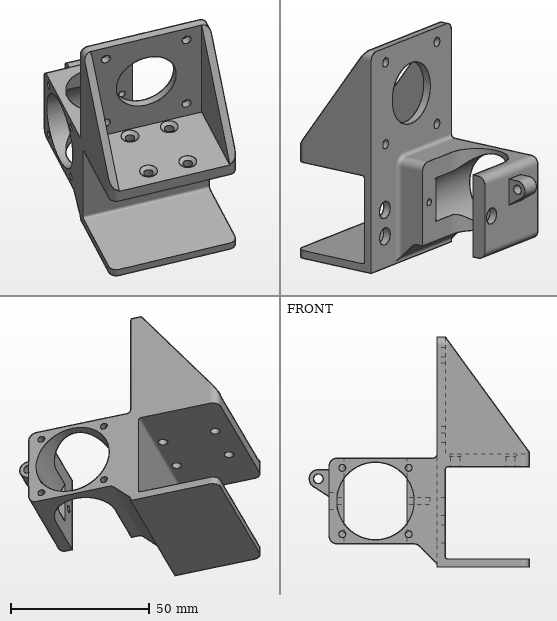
import cadquery as cq
import math

wall = 3.0
width = 48.5
height = 83.4
mid_y = width / 2
corner_radius = 3.0
inner_fillet = 1.0

shelf_length = 33.45
opening_height = 33.4
shelf_bottom = wall + opening_height
shelf_thickness = 4.7
shelf_top = shelf_bottom + shelf_thickness
gusset_tip_z = 41.6
motor_z = 62.4
motor_bore = 23.0
motor_hole_spacing = 31.0
screw_diameter = 3.4
countersink_diameter = 6.4
countersink_angle = 116
shelf_hole_first_x = 6.6
shelf_hole_spacing_x = 20.0
shelf_hole_spacing_y = 15.1
cable_hole_diameter = 6.4
cable_hole_y = 40.2
cable_hole_first_z = 12.0
cable_hole_spacing = 10.0

block_length = 39.1
block_depth = 32.0
block_bottom = 8.4
block_top = 39.5
block_mid_z = (block_bottom + block_top) / 2
brace_foot_z = 1.25
root_fillet = 1.5
fan_x = -22.3
fan_bore = 28.0
fan_bore_depth = 24.0
fan_hole_spacing = 24.0
pilot_diameter = 2.5
pilot_depth = 8.3
slot_width = 22.7
slot_floor_y = wall
clamp_y = 28.0
clamp_counterbore = 6.0
clamp_counterbore_depth = 3.0

tab_x = -42.95
tab_z = 32.0
tab_radius = 3.3
tab_front_y = 10.5
tab_width = 7.0
tab_foot_z = 25.5


def box(x, y, z):
    """Box between the given (low, high) ranges."""
    size = (x[1] - x[0], y[1] - y[0], z[1] - z[0])
    return cq.Workplane("XY").box(*size, centered=False).translate((x[0], y[0], z[0]))


def cylinder(start, direction, diameter, length):
    return cq.Workplane(cq.Solid.makeCylinder(diameter / 2, length, cq.Vector(*start), cq.Vector(*direction)))


def side_profile(points, front_y, depth):
    """Extrude an XZ outline from front_y towards +Y."""
    return cq.Workplane("XZ", origin=(0, front_y, 0)).polyline(points).close().extrude(-depth)


def pair(middle, spacing):
    return (middle - spacing / 2, middle + spacing / 2)


def make_frame():
    outline = [
        (0, 0), (shelf_length, 0), (shelf_length, wall), (wall, wall), (wall, shelf_bottom),
        (shelf_length, shelf_bottom), (shelf_length, gusset_tip_z), (wall, height), (0, height),
    ]
    frame = side_profile(outline, 0, width)
    for z in (wall, shelf_bottom):
        corner = cq.selectors.BoxSelector((wall - 0.1, -0.8, z - 0.1), (wall + 0.1, width + 0.8, z + 0.1))
        frame = frame.edges(corner).fillet(inner_fillet)

    plan = box((0, shelf_length), (0, width), (0, height)).edges("|Z and >X").fillet(corner_radius)
    elevation = box((0, shelf_length), (0, width), (0, height)).edges("|X and >Z").fillet(corner_radius)
    frame = frame.intersect(plan).intersect(elevation)

    return frame.cut(box((wall, shelf_length), (wall, width - wall), (shelf_top, height)))


def make_block():
    brace_x = brace_foot_z - block_bottom
    outline = [
        (0, brace_foot_z), (brace_x, block_bottom), (-block_length, block_bottom),
        (-block_length, block_top), (0, block_top),
    ]
    block = side_profile(outline, 0, block_depth)
    block = block.edges("|Y and <X").fillet(corner_radius)
    bend = cq.selectors.BoxSelector(
        (brace_x - 0.1, -0.8, block_bottom - 0.1), (brace_x + 0.1, width, block_bottom + 0.1))
    block = block.edges(bend).fillet(corner_radius)

    slot_radius = slot_width / 2
    slot_y = slot_floor_y + slot_radius
    block = block.cut(cylinder((fan_x, slot_y, 0), (0, 0, 1), slot_width, height))
    block = block.cut(box(pair(fan_x, slot_width), (slot_y, width), (0, height)))

    arm_edge = cq.selectors.BoxSelector(
        (fan_x, block_depth - 0.1, block_top - 0.1), (0.8, block_depth + 0.1, block_top + 0.1))
    return block.edges(arm_edge).fillet(corner_radius)


def join_block(frame, block):
    body = frame.union(block)
    root = cq.selectors.BoxSelector(
        (-0.1, -0.8, brace_foot_z - 0.1), (0.1, block_depth + 0.1, block_top + 0.1))
    return body.edges(root).fillet(root_fillet)


def make_tab():
    dx = tab_x + block_length
    dz = tab_z - tab_foot_z
    distance = math.hypot(dx, dz)
    tangent_angle = math.atan2(-dz, -dx) - math.acos(tab_radius / distance)
    tangent = (tab_x + tab_radius * math.cos(tangent_angle), tab_z + tab_radius * math.sin(tangent_angle))
    return (
        cq.Workplane("XZ", origin=(0, tab_front_y, 0))
        .moveTo(-block_length, tab_foot_z)
        .lineTo(*tangent)
        .threePointArc((tab_x - tab_radius, tab_z), (tab_x, tab_z + tab_radius))
        .lineTo(-block_length, tab_z + tab_radius)
        .close()
        .extrude(-tab_width)
    )


def cut_plate_holes(body):
    body = body.cut(cylinder((0, mid_y, motor_z), (1, 0, 0), motor_bore, wall))
    for y in pair(mid_y, motor_hole_spacing):
        for z in pair(motor_z, motor_hole_spacing):
            body = body.cut(cylinder((0, y, z), (1, 0, 0), screw_diameter, wall))
    for z in (cable_hole_first_z, cable_hole_first_z + cable_hole_spacing):
        body = body.cut(cylinder((0, cable_hole_y, z), (1, 0, 0), cable_hole_diameter, wall))
    return body


def cut_shelf_holes(body):
    places = [
        (x, y)
        for x in (shelf_hole_first_x, shelf_hole_first_x + shelf_hole_spacing_x)
        for y in pair(mid_y, shelf_hole_spacing_y)
    ]
    return (
        body.cut(
            cq.Workplane("XY", origin=(0, 0, shelf_bottom))
            .pushPoints(places).circle(screw_diameter / 2).extrude(shelf_thickness)
        )
        .cut(make_countersinks(places))
    )


def make_countersinks(places):
    depth = (countersink_diameter - screw_diameter) / 2 / math.tan(math.radians(countersink_angle / 2))
    cone = cq.Solid.makeCone(
        screw_diameter / 2, countersink_diameter / 2, depth, cq.Vector(0, 0, shelf_top - depth))
    return cq.Workplane("XY").pushPoints(places).eachpoint(lambda place: cone.moved(place))


def cut_block_holes(body):
    body = body.cut(cylinder((fan_x, 0, block_mid_z), (0, 1, 0), fan_bore, fan_bore_depth))
    for x in pair(fan_x, fan_hole_spacing):
        for z in pair(block_mid_z, fan_hole_spacing):
            body = body.cut(cylinder((x, 0, z), (0, 1, 0), pilot_diameter, pilot_depth))

    clamp_start = (-block_length, clamp_y, block_mid_z)
    pilot_end = fan_x + slot_width / 2 + pilot_depth
    body = body.cut(cylinder(clamp_start, (1, 0, 0), clamp_counterbore, clamp_counterbore_depth))
    return body.cut(cylinder(clamp_start, (1, 0, 0), pilot_diameter, block_length + pilot_end))


body = join_block(make_frame(), make_block())
body = body.union(make_tab())
body = cut_plate_holes(body)
body = cut_shelf_holes(body)
body = cut_block_holes(body)
result = body.cut(cylinder((tab_x, tab_front_y, tab_z), (0, 1, 0), screw_diameter, tab_width))